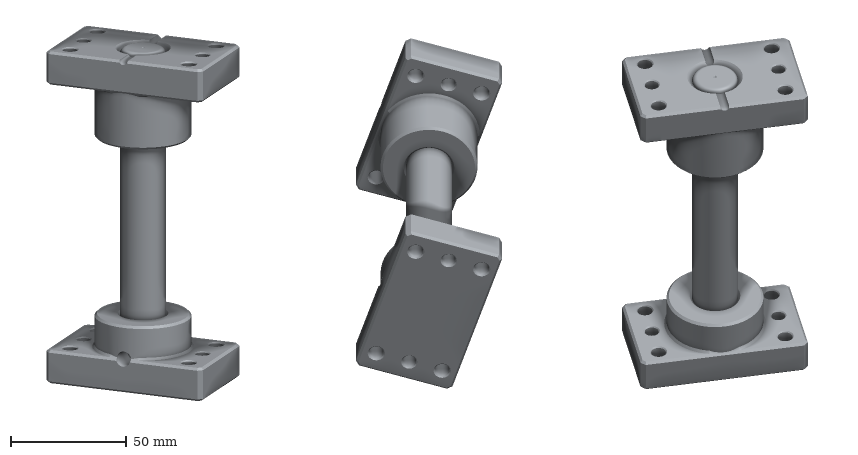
import cadquery as cq

total_height = 150.0

plate_length = 74.0
plate_width = 44.0
plate_thickness = 15.0
corner_chamfer = 2.0
edge_chamfer = 1.0

hub_diameter = 42.0
lower_hub_height = 15.0
upper_hub_height = 25.0

pillar_diameter = 20.0
pillar_top_fillet = 2.5
center_mark_diameter = 1.5
bore_mouth_chamfer = 1.0

hole_spacing_x = 56.0
screw_spacing_y = 30.0
screw_hole_diameter = 6.5
dowel_hole_diameter = 6.0
hole_rim_chamfer = 0.5

recess_diameter = 24.0
recess_depth = (recess_diameter - pillar_diameter) / 2
groove_width = 3.9

port_diameter = 6.6


def make_plate():
    """Plate standing on Z = 0, with chamfered corners and rims."""
    return (
        cq.Workplane("XY")
        .box(plate_length, plate_width, plate_thickness, centered=(True, True, False))
        .edges("|Z")
        .chamfer(corner_chamfer)
        .faces("<Z or >Z")
        .edges()
        .chamfer(edge_chamfer)
    )


def make_hub_flare():
    """Conical flare at the foot of the hub, trimmed by the planes of the plate's rim chamfer."""
    flare_diameter = hub_diameter + 2 * edge_chamfer
    cone = (
        cq.Workplane("XY", origin=(0, 0, plate_thickness))
        .circle(flare_diameter / 2)
        .extrude(edge_chamfer, taper=45)
    )
    trim = (
        cq.Workplane("XY", origin=(0, 0, plate_thickness))
        .rect(plate_length - 2 * edge_chamfer, plate_width - 2 * edge_chamfer)
        .extrude(edge_chamfer, taper=45)
    )
    return cone.intersect(trim)


def make_hub(hub_height):
    """Hub rooted halfway down the plate, with a chamfered free end."""
    root_depth = plate_thickness / 2
    return (
        cq.Workplane("XY", origin=(0, 0, plate_thickness - root_depth))
        .circle(hub_diameter / 2)
        .extrude(root_depth + hub_height)
        .faces(">Z")
        .chamfer(edge_chamfer)
    )


def make_hole(diameter, depth):
    """Cutter for a straight round hole up from Z = 0."""
    return cq.Workplane("XY").circle(diameter / 2).extrude(depth)


def make_mouth(diameter, chamfer):
    """Cutter for a 45 degree hole mouth, widest at Z = 0 and narrowing upward."""
    return cq.Workplane("XY").circle(diameter / 2 + chamfer).extrude(chamfer, taper=45)


def make_top_mouth(diameter, chamfer, height):
    """Cutter for a 45 degree hole mouth, widest at the given height and narrowing downward."""
    return make_mouth(diameter, chamfer).mirror("XY").translate((0, 0, height))


def make_mounting_hole(diameter):
    """Cutter for a hole through the plate, chamfered at both mouths."""
    return (
        make_hole(diameter, plate_thickness)
        .union(make_mouth(diameter, hole_rim_chamfer))
        .union(make_top_mouth(diameter, hole_rim_chamfer, plate_thickness))
    )


def cut_mounting_holes(body):
    """Three holes along each short side of the plate."""
    screw_hole = make_mounting_hole(screw_hole_diameter)
    dowel_hole = make_mounting_hole(dowel_hole_diameter)
    for side in (-1, 1):
        hole_x = side * hole_spacing_x / 2
        body = body.cut(dowel_hole.translate((hole_x, 0, 0)))
        for row in (-1, 1):
            body = body.cut(screw_hole.translate((hole_x, row * screw_spacing_y / 2, 0)))
    return body


def make_bushing(hub_height):
    """Plate below, hub above, bored through for the pillar."""
    height = plate_thickness + hub_height
    body = make_plate().union(make_hub(hub_height)).union(make_hub_flare())
    bore = make_hole(pillar_diameter, height).union(
        make_top_mouth(pillar_diameter, bore_mouth_chamfer, height)
    )
    return cut_mounting_holes(body.cut(bore))


def make_lower_bushing():
    """Bushing standing on Z = 0, with an oil port from its -Y side into the bore."""
    port = (
        cq.Workplane("XZ", origin=(0, 0, plate_thickness))
        .circle(port_diameter / 2)
        .extrude(plate_width / 2)
    )
    return make_bushing(lower_hub_height).cut(port)


def make_upper_bushing():
    """Bushing hung upside down, with a conical recess and a round groove in its top face."""
    groove_radius = groove_width / 2
    groove = (
        cq.Workplane("XZ")
        .moveTo(-groove_radius, 0)
        .threePointArc((0, groove_radius), (groove_radius, 0))
        .close()
        .extrude(plate_width, both=True)
    )
    return (
        make_bushing(upper_hub_height)
        .cut(make_mouth(pillar_diameter, recess_depth))
        .cut(groove)
        .rotate((0, 0, 0), (1, 0, 0), 180)
        .translate((0, 0, total_height))
    )


def make_pillar():
    """Round pillar with a rounded top and a small conical center mark."""
    mark_radius = center_mark_diameter / 2
    mark = cq.Workplane(
        cq.Solid.makeCone(0, mark_radius, mark_radius, cq.Vector(0, 0, total_height - mark_radius))
    )
    return (
        cq.Workplane("XY")
        .circle(pillar_diameter / 2)
        .extrude(total_height)
        .faces(">Z")
        .edges()
        .fillet(pillar_top_fillet)
        .cut(mark)
    )


lower_bushing = make_lower_bushing()
upper_bushing = make_upper_bushing()
pillar = make_pillar()

result = cq.Compound.makeCompound([lower_bushing.val(), upper_bushing.val(), pillar.val()])